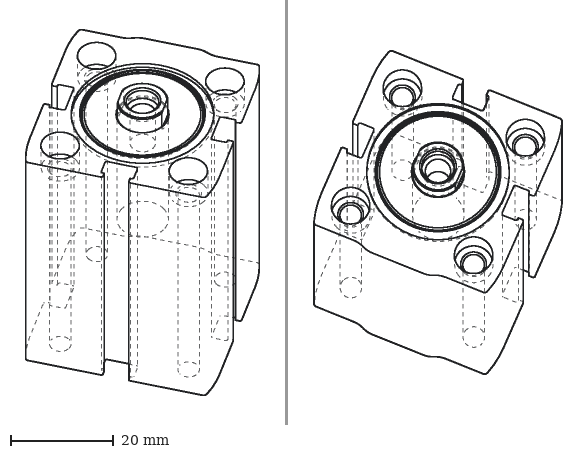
import cadquery as cq
import math

total_height = 57.5
rod_projection = 3.5
half_side = 19.25

side_flat_half = 12.75
side_curve_radius = 20.0
corner_radius = 0.75

pad_height = 1.0
pad_top_half = 5.4
pad_base_half = 9.65

slot_mouth = 5.25
slot_width = 6.55
slot_depth = 4.5
slot_lip = 1.2
slot_radius = 0.4

mount_offset = 13.0
mount_bore = 4.2
mount_countersink = 5.0
mount_counterbore = 7.5
mount_counterbore_depth = 6.0

ring_outer = 27.8
ring_inner = 24.5
ring_depth = 1.0
gap_outer = 24.05
gap_depth = 0.5
cover_foot = 23.6
cover_face = 22.75
cover_drop = 0.2

rod_diameter = 10.0
rod_embedded = 28.75
rod_chamfer = 0.25
rod_hole_chamfer = 0.2
flats_width = 9.1
flats_below_cover = 0.8
rod_mouth = 7.15
rod_counterbore = 6.4
rod_counterbore_depth = 2.55
rod_drill = 4.95
rod_drill_depth = 11.5
drill_point_angle = 118.0

curve_rise = half_side - side_flat_half
curve_inset = side_curve_radius - math.sqrt(side_curve_radius**2 - curve_rise**2)
corner_x = half_side - curve_inset
housing_height = total_height - rod_projection
rod_bottom = housing_height - rod_embedded
rod_radius = rod_diameter / 2
cover_height = housing_height - cover_drop


def housing_section():
    """Closed outline: curved X sides, flat -Y side, raised pad on the +Y side."""
    half_angle = math.asin(curve_rise / side_curve_radius) / 2
    mid_x = half_side - side_curve_radius * (1 - math.cos(half_angle))
    mid_y = side_flat_half + side_curve_radius * math.sin(half_angle)
    pad_top = half_side + pad_height
    pad_mid_x = (pad_top_half + pad_base_half) / 2
    pad_mid_y = half_side + pad_height / 2
    return (
        cq.Workplane("XY")
        .moveTo(-corner_x, -half_side)
        .lineTo(corner_x, -half_side)
        .threePointArc((mid_x, -mid_y), (half_side, -side_flat_half))
        .lineTo(half_side, side_flat_half)
        .threePointArc((mid_x, mid_y), (corner_x, half_side))
        .lineTo(pad_base_half, half_side)
        .tangentArcPoint((pad_mid_x, pad_mid_y), relative=False)
        .tangentArcPoint((pad_top_half, pad_top), relative=False)
        .lineTo(-pad_top_half, pad_top)
        .tangentArcPoint((-pad_mid_x, pad_mid_y), relative=False)
        .tangentArcPoint((-pad_base_half, half_side), relative=False)
        .lineTo(-corner_x, half_side)
        .threePointArc((-mid_x, mid_y), (-half_side, side_flat_half))
        .lineTo(-half_side, -side_flat_half)
        .threePointArc((-mid_x, -mid_y), (-corner_x, -half_side))
        .close()
    )


def profile_body():
    """Extruded section with its four sharp corner edges rounded."""
    body = housing_section().extrude(housing_height)
    reach = corner_radius / 2
    for x in (-corner_x, corner_x):
        for y in (-half_side, half_side):
            at_corner = cq.selectors.BoxSelector(
                (x - reach, y - reach, 0),
                (x + reach, y + reach, housing_height),
            )
            body = body.edges(at_corner).edges("|Z").fillet(corner_radius)
    return body


def sensor_slot():
    """T-slot cutter for the -Y side, with a mouth that flares out in round lips."""
    mouth_half = slot_mouth / 2
    flare_half = mouth_half + slot_radius
    bend = slot_radius * (1 - math.sin(math.radians(45)))
    chamber_depth = slot_depth - slot_lip
    chamber = (
        cq.Workplane("XY")
        .box(slot_width, chamber_depth, housing_height, centered=(True, False, False))
        .edges("|Z")
        .fillet(slot_radius)
        .translate((0, slot_lip - half_side, 0))
    )
    inner_y = slot_lip + slot_radius - half_side
    mouth = (
        cq.Workplane("XY")
        .moveTo(-flare_half, -half_side)
        .threePointArc((-mouth_half - bend, bend - half_side), (-mouth_half, slot_radius - half_side))
        .lineTo(-mouth_half, inner_y)
        .lineTo(mouth_half, inner_y)
        .lineTo(mouth_half, slot_radius - half_side)
        .threePointArc((mouth_half + bend, bend - half_side), (flare_half, -half_side))
        .close()
        .extrude(housing_height)
    )
    return chamber.union(mouth)


def mounting_hole():
    """Through hole with a deep counterbore and a small countersink on its floor."""
    floor = housing_height - mount_counterbore_depth
    sink = (mount_countersink - mount_bore) / 2
    return (
        cq.Workplane("XZ")
        .polyline([
            (0, 0),
            (mount_bore / 2, 0),
            (mount_bore / 2, floor - sink),
            (mount_countersink / 2, floor),
            (mount_counterbore / 2, floor),
            (mount_counterbore / 2, housing_height),
            (0, housing_height),
        ])
        .close()
        .revolve(360, (0, 0, 0), (0, 1, 0))
    )


def cover_recess():
    """Top cutter: conical ring groove, narrow gap and the bevelled, lowered cover face."""
    return (
        cq.Workplane("XZ")
        .polyline([
            (ring_outer / 2, housing_height),
            (ring_outer / 2, housing_height - ring_depth),
            (ring_inner / 2, housing_height),
        ])
        .close()
        .polyline([
            (gap_outer / 2, housing_height),
            (gap_outer / 2, housing_height - gap_depth),
            (cover_foot / 2, housing_height - gap_depth),
            (cover_face / 2, cover_height),
            (0, cover_height),
            (0, housing_height),
        ])
        .close()
        .revolve(360, (0, 0, 0), (0, 1, 0))
    )


def rod_hole():
    """Blind hole for the rod, chamfered where it leaves the cover face."""
    return (
        cq.Workplane("XZ")
        .polyline([
            (0, rod_bottom),
            (rod_radius, rod_bottom),
            (rod_radius, cover_height - rod_hole_chamfer),
            (rod_radius + rod_hole_chamfer, cover_height),
            (0, cover_height),
        ])
        .close()
        .revolve(360, (0, 0, 0), (0, 1, 0))
    )


def make_housing():
    housing = profile_body()
    for angle in (-90, 0, 90):
        housing = housing.cut(sensor_slot().rotate((0, 0, 0), (0, 0, 1), angle))
    for x in (-mount_offset, mount_offset):
        for y in (-mount_offset, mount_offset):
            housing = housing.cut(mounting_hole().translate((x, y, 0)))
    return housing.cut(cover_recess()).cut(rod_hole())


def rod_flat_cutter():
    """Cutter for the flat on the +X side, ending below in a 45 degree slope."""
    flat_x = flats_width / 2
    flat_bottom = cover_height - flats_below_cover
    run_out = rod_diameter - flat_x
    return (
        cq.Workplane("XZ")
        .polyline([
            (flat_x, total_height),
            (flat_x, flat_bottom),
            (rod_diameter, flat_bottom - run_out),
            (rod_diameter, total_height),
        ])
        .close()
        .extrude(rod_radius, both=True)
    )


def rod_end_hole():
    """Stepped blind hole: mouth chamfer, counterbore, conical step, drilled hole."""
    mouth_chamfer = (rod_mouth - rod_counterbore) / 2
    step = (rod_counterbore - rod_drill) / 2
    step_z = total_height - rod_counterbore_depth
    drill_z = total_height - rod_drill_depth
    tip = rod_drill / 2 / math.tan(math.radians(drill_point_angle / 2))
    return (
        cq.Workplane("XZ")
        .polyline([
            (0, total_height),
            (rod_mouth / 2, total_height),
            (rod_counterbore / 2, total_height - mouth_chamfer),
            (rod_counterbore / 2, step_z),
            (rod_drill / 2, step_z - step),
            (rod_drill / 2, drill_z),
            (0, drill_z - tip),
        ])
        .close()
        .revolve(360, (0, 0, 0), (0, 1, 0))
    )


def make_rod():
    rod = (
        cq.Workplane("XY")
        .workplane(offset=rod_bottom)
        .circle(rod_radius)
        .extrude(total_height - rod_bottom)
        .faces(">Z")
        .chamfer(rod_chamfer)
    )
    for angle in (0, 180):
        rod = rod.cut(rod_flat_cutter().rotate((0, 0, 0), (0, 0, 1), angle))
    return rod.cut(rod_end_hole())


housing = make_housing()
piston_rod = make_rod()

result = cq.Compound.makeCompound([housing.val(), piston_rod.val()])